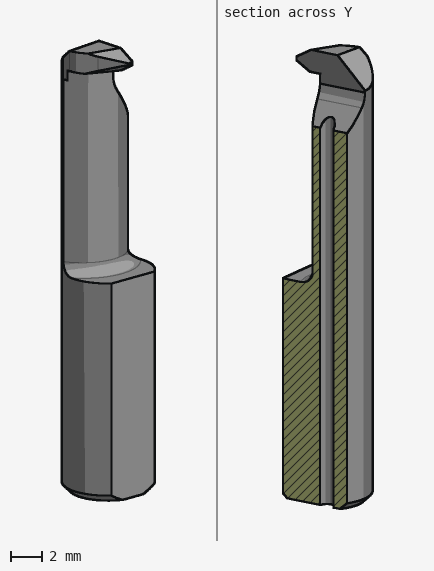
import cadquery as cq
import math

LENGTH = 30.0
SHANK_RADIUS = 3.0
FLAT_X = 2.35
BOTTOM_CHAMFER = 0.5

SHOULDER_Z = 14.8
NECK_RADIUS = 2.95
NECK_FRONT_X = 0.48
NECK_AXIS_X = NECK_FRONT_X - NECK_RADIUS
NECK_FILLET = 0.8

HOLE_DIAMETER = 1.0
HOLE_X = -1.03
HOLE_Y = 1.46

RELIEF_ANGLE = 37.5
RELIEF_BLEND_RADIUS = 1.7
RELIEF_START_Z = 27.95

HEAD_BOTTOM_Z = 28.5
HEAD_SIDE_Y = -2.57
HEAD_SIDE_RADIUS = 3.0
HEAD_SIDE_TAPER = 7.0
HEAD_SIDE_START_Z = 27.85
TIP_X = 2.3
END_FACE_ANGLE = 45.0

FLANK_ANGLE = 30.0
FLANK_CLEARANCE = 0.27
UPPER_FLANK_X = 1.18
LOWER_FLANK_X = 1.25
FLANK_LEAD = 1.5
TOP_CLEARANCE = 0.052
RIDGE_X = -0.877
BACK_SLOPE_ANGLE = 43.5

MARGIN = 5.0


def make_shank():
    bar = cq.Workplane("XY").circle(SHANK_RADIUS).extrude(LENGTH)
    return bar.faces("<Z").chamfer(BOTTOM_CHAMFER)


def make_neck_envelope():
    """Turned envelope about the neck axis: wide below the shoulder, filleted into the neck."""
    flange_radius = SHANK_RADIUS + MARGIN
    fillet_foot = NECK_RADIUS + NECK_FILLET
    fillet_mid = NECK_FILLET * (1 - math.sqrt(0.5))
    profile = (
        cq.Workplane("XZ")
        .lineTo(flange_radius, 0)
        .lineTo(flange_radius, SHOULDER_Z)
        .lineTo(fillet_foot, SHOULDER_Z)
        .threePointArc(
            (NECK_RADIUS + fillet_mid, SHOULDER_Z + fillet_mid),
            (NECK_RADIUS, SHOULDER_Z + NECK_FILLET),
        )
        .lineTo(NECK_RADIUS, LENGTH)
        .lineTo(0, LENGTH)
        .close()
    )
    return profile.revolve(360, (0, 0, 0), (0, 1, 0)).translate((NECK_AXIS_X, 0, 0))


def make_head_outline(bottom_z):
    """Head plan shape from bottom_z to the top: tip, slanted end face, tangent round side."""
    taper = math.radians(HEAD_SIDE_TAPER)
    slant = math.radians(END_FACE_ANGLE)
    center_x = RIDGE_X - HEAD_SIDE_RADIUS * math.sin(taper)
    center_y = HEAD_SIDE_Y + HEAD_SIDE_RADIUS * math.cos(taper)

    def point_on_side(angle):
        return (
            center_x + HEAD_SIDE_RADIUS * math.sin(angle),
            center_y - HEAD_SIDE_RADIUS * math.cos(angle),
        )

    face_x, face_y = point_on_side(slant)
    tip_y = face_y + (TIP_X - face_x) * math.tan(slant)
    rear_y = HEAD_SIDE_Y - (RIDGE_X + SHANK_RADIUS) * math.tan(taper)
    return (
        cq.Workplane("XY", origin=(0, 0, bottom_z))
        .moveTo(-SHANK_RADIUS, 0)
        .lineTo(TIP_X, 0)
        .lineTo(TIP_X, tip_y)
        .lineTo(face_x, face_y)
        .threePointArc(point_on_side((slant + taper) / 2), (RIDGE_X, HEAD_SIDE_Y))
        .lineTo(-SHANK_RADIUS, rear_y)
        .close()
        .extrude(LENGTH - bottom_z)
    )


def clearance_cutter(points, rise):
    """Cutter with an XZ outline at Y = 0, running toward -Y and rising by rise per millimetre."""
    corners = [cq.Vector(x, 0, z) for x, z in points]
    wire = cq.Wire.makePolygon(corners, close=True)
    direction = cq.Vector(0, -SHANK_RADIUS, SHANK_RADIUS * rise)
    return cq.Workplane(obj=cq.Solid.extrudeLinear(wire, [], direction))


def cut_top_and_back_slope(body):
    run = MARGIN
    fall = run * math.tan(math.radians(BACK_SLOPE_ANGLE))
    outline = [
        (RIDGE_X - run, LENGTH - fall),
        (RIDGE_X, LENGTH),
        (RIDGE_X + run, LENGTH),
        (RIDGE_X + run, LENGTH + MARGIN),
        (RIDGE_X - run, LENGTH + MARGIN),
    ]
    return body.cut(clearance_cutter(outline, -TOP_CLEARANCE))


def cut_flank(body, start_x, start_z, side):
    """Cut one thread flank; side is +1 for the upper flank and -1 for the lower one."""
    slope = math.tan(math.radians(FLANK_ANGLE))
    outline = [
        (start_x - FLANK_LEAD, start_z + side * slope * FLANK_LEAD),
        (start_x + MARGIN, start_z - side * slope * MARGIN),
        (start_x + MARGIN, start_z + side * MARGIN),
        (start_x - FLANK_LEAD, start_z + side * MARGIN),
    ]
    return body.cut(clearance_cutter(outline, -side * FLANK_CLEARANCE))


def make_head():
    head = make_head_outline(HEAD_BOTTOM_Z)
    bar = cq.Workplane("XY").circle(SHANK_RADIUS).extrude(LENGTH)
    head = head.intersect(bar)
    head = cut_flank(head, UPPER_FLANK_X, LENGTH, 1)
    return cut_flank(head, LOWER_FLANK_X, HEAD_BOTTOM_Z, -1)


def make_stem():
    """Shank and neck, with the head side ground into the top of the neck."""
    stem = make_shank().intersect(make_neck_envelope())
    lower_zone = cq.Workplane("XY").circle(SHANK_RADIUS + MARGIN).extrude(HEAD_SIDE_START_Z)
    lower = stem.intersect(lower_zone)
    return lower.union(stem.intersect(make_head_outline(HEAD_SIDE_START_Z)))


def cut_rear_relief(body):
    """Remove the half behind Y = 0: vertical face, blend arc, then a straight slope."""
    angle = math.radians(RELIEF_ANGLE)

    def point_on_blend(turn):
        return (
            RELIEF_BLEND_RADIUS * (1 - math.cos(turn)),
            RELIEF_START_Z - RELIEF_BLEND_RADIUS * math.sin(turn),
        )

    blend_y, blend_z = point_on_blend(angle)
    slope_y = SHANK_RADIUS + MARGIN
    slope_z = blend_z - (slope_y - blend_y) / math.tan(angle)
    cutter = (
        cq.Workplane("YZ")
        .moveTo(0, LENGTH + MARGIN)
        .lineTo(0, RELIEF_START_Z)
        .threePointArc(point_on_blend(angle / 2), (blend_y, blend_z))
        .lineTo(slope_y, slope_z)
        .lineTo(slope_y, LENGTH + MARGIN)
        .close()
        .extrude(SHANK_RADIUS + MARGIN, both=True)
    )
    return body.cut(cutter)


def cut_shank_flat(body):
    flat = cq.Workplane("XY").box(MARGIN, 2 * SHANK_RADIUS, LENGTH, centered=(False, True, False))
    return body.cut(flat.translate((FLAT_X, 0, 0)))


def cut_coolant_hole(body):
    hole = cq.Workplane("XY").center(HOLE_X, HOLE_Y).circle(HOLE_DIAMETER / 2).extrude(LENGTH)
    return body.cut(hole)


body = make_stem().union(make_head())
body = cut_top_and_back_slope(body)
body = cut_rear_relief(body)
body = cut_shank_flat(body)
result = cut_coolant_hole(body)